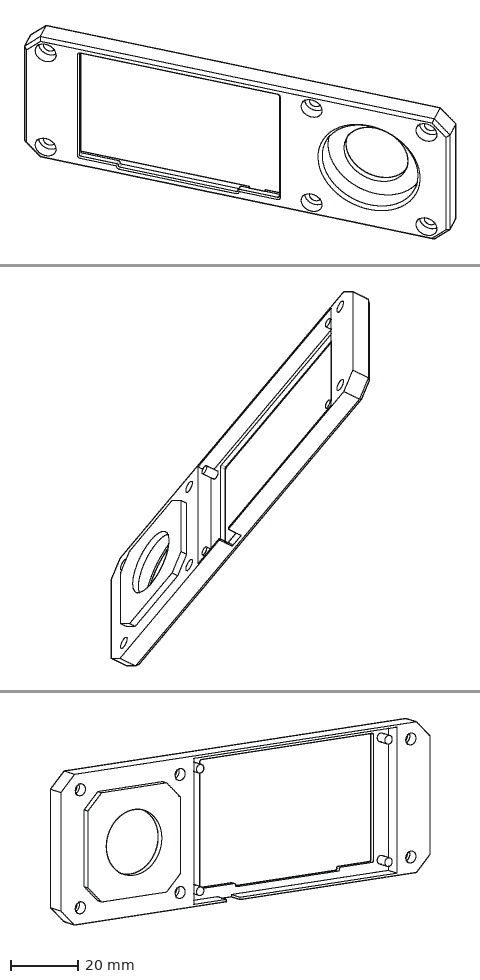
import cadquery as cq

plate_length = 133.2
plate_height = 46.0
plate_thickness = 6.5
corner_cut = 4.9
front_chamfer = 1.0

boss_x = 41.5
boss_side = 33.3
boss_height = 2.0
total_depth = plate_thickness + boss_height
opening_diameter = 20.0
seat_diameter = 30.0
seat_depth = plate_thickness
seat_chamfer = 1.0

screw_pitch = 36.0
screw_diameter = 3.6
head_diameter = 6.5
head_depth = 3.3
left_screw_x = -59.7
screw_columns = (left_screw_x, boss_x - screw_pitch / 2, boss_x + screw_pitch / 2)
screw_rows = (-screw_pitch / 2, screw_pitch / 2)

window_left = -49.3
window_right = 13.3
window_bottom = -19.0
window_top = 20.2
window_chamfer = 0.48
window_corner_radius = 0.5
notch_left = -37.0
notch_right = 0.4
notch_bottom = -20.1

lip_thickness = 2.0
pocket_side_margin = 5.3
pocket_left = window_left - pocket_side_margin
pocket_right = window_right + pocket_side_margin
pocket_half_height = 22.2

pin_diameter = 2.7
pin_length = 4.0
pin_side_margin = 2.7
pin_columns = (window_left - pin_side_margin, window_right + pin_side_margin)
pin_z = 18.6

slot_left = 2.0
slot_right = 6.9


def front_plane(depth):
    """Workplane parallel to the front face, at the given distance behind it."""
    return cq.Workplane("XZ", origin=(0, depth, 0))


def slab(x_range, z_range, start, end):
    """Rectangular block between two depths behind the front face."""
    width = x_range[1] - x_range[0]
    height = z_range[1] - z_range[0]
    block = cq.Workplane("XY").box(width, end - start, height, centered=False)
    return block.translate((x_range[0], start, z_range[0]))


def cylinders(points, diameter, start, end):
    """Round bars along Y at the given (x, z) points, between two depths."""
    return front_plane(start).pushPoints(points).circle(diameter / 2).extrude(start - end)


def cut_corner_slab(x_center, width, height, start, end):
    """Slab centred on Z = 0 with its four corners cut at 45 degrees."""
    x_range = (x_center - width / 2, x_center + width / 2)
    block = slab(x_range, (-height / 2, height / 2), start, end)
    return block.edges("|Y").chamfer(corner_cut)


def make_plate():
    plate = cut_corner_slab(0, plate_length, plate_height, 0, plate_thickness)
    return plate.faces("<Y").edges().chamfer(front_chamfer)


def cut_window(body):
    """Cut the notched window through the lip and chamfer its front rim."""
    window = slab((window_left, window_right), (window_bottom, window_top), 0, lip_thickness)
    notch = slab((notch_left, notch_right), (notch_bottom, 0), 0, lip_thickness)
    opening = window.union(notch).edges("|Y").fillet(window_corner_radius)
    clearance = 0.1
    rim = cq.selectors.BoxSelector(
        (window_left - clearance, -clearance, notch_bottom - clearance),
        (window_right + clearance, clearance, window_top + clearance),
    )
    return body.cut(opening).faces("<Y").edges(rim).chamfer(window_chamfer)


def cut_rear_pocket(body):
    """Hollow the rear behind the lip and open the slot in the lower wall."""
    pocket_z = (-pocket_half_height, pocket_half_height)
    pocket = slab((pocket_left, pocket_right), pocket_z, lip_thickness, plate_thickness)
    slot_z = (-plate_height / 2, -pocket_half_height)
    slot = slab((slot_left, slot_right), slot_z, lip_thickness, plate_thickness)
    return body.cut(pocket).cut(slot)


def add_pins(body):
    points = [(x, z) for x in pin_columns for z in (-pin_z, pin_z)]
    return body.union(cylinders(points, pin_diameter, lip_thickness, lip_thickness + pin_length))


def add_boss(body):
    boss = cut_corner_slab(boss_x, boss_side, boss_side, plate_thickness, total_depth)
    return body.union(boss)


def cut_round_opening(body):
    """Through hole with a wide seat from the front and a chamfered front rim."""
    center = [(boss_x, 0)]
    hole = cylinders(center, opening_diameter, 0, total_depth)
    seat = cylinders(center, seat_diameter, 0, seat_depth)
    seat_radius = seat_diameter / 2
    rim = cq.Solid.makeCone(
        seat_radius + seat_chamfer,
        seat_radius,
        seat_chamfer,
        pnt=cq.Vector(boss_x, 0, 0),
        dir=cq.Vector(0, 1, 0),
    )
    return body.cut(hole).cut(seat).cut(cq.Workplane(rim))


def cut_screw_holes(body):
    points = [(x, z) for x in screw_columns for z in screw_rows]
    shanks = cylinders(points, screw_diameter, 0, plate_thickness)
    heads = cylinders(points, head_diameter, 0, head_depth)
    return body.cut(shanks).cut(heads)


result = make_plate()
result = cut_rear_pocket(result)
result = cut_window(result)
result = add_pins(result)
result = add_boss(result)
result = cut_round_opening(result)
result = cut_screw_holes(result)